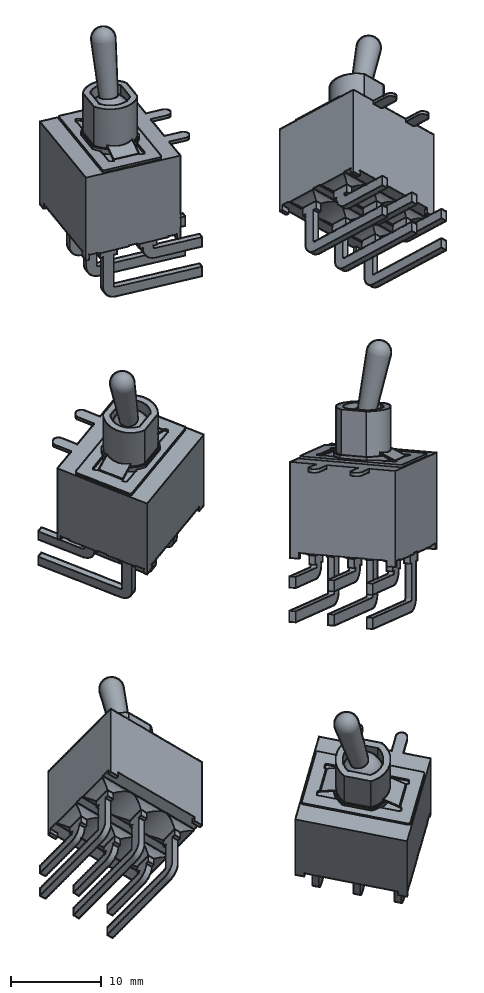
import cadquery as cq
import math


case_length = 12.7
case_width = 11.4
case_height = 10.83
recess_depth = 0.65
foot_length = 1.05
foot_width = 0.4
recess_z = -(case_height - recess_depth)
recess_length = case_length - 2 * foot_length
recess_width = case_width - 2 * foot_width

tab_spacing = 5.1
tab_width = 1.32
tab_thickness = 0.4
tab_end_y = 8.38

plate_length = 12.33
plate_width = 7.12
plate_thickness = 0.28
plate_corner_radius = 0.25
tongue_width = 3.07
tongue_thickness = 0.18
tongue_root_x = 4.48
tongue_gap = 0.1
tongue_tip_x = 2.6
tongue_angle = 22.5
slot_width = 0.65
slot_end_x = 4.8
slot_corner_radius = 0.25

bushing_radius = 3.05
bushing_across_flats = 5.28
bushing_top = 5.75
bore_radius = 2.25
bore_across_flats = 3.7
flange_radius = 3.25
flange_across_flats = 5.65
flange_top = 0.65

pivot_z = 3.3
ball_radius = 2.3
lever_tilt = 12.2
lever_tip_radius = 1.38
lever_base_radius = 0.95
lever_top = 13.35
tip_center_z = lever_top - lever_tip_radius
lever_length = (tip_center_z - pivot_z) / math.cos(math.radians(lever_tilt))

terminal_pitch = 4.65
terminal_count = 3
row_spacing = 4.8
terminal_thickness = 0.77
collar_width = 2.05
collar_bottom = -11.85
lead_width = 1.25
lead_end_y = 8.9
front_lead_bottom = -17.33
rear_lead_bottom = -13.47
bend_outer_radius = 1.47
bend_inner_radius = bend_outer_radius - lead_width

seal_bottom = -case_height
seal_edge_z = recess_z - 0.05
seal_half_length = terminal_pitch / 2
seal_half_width = 1.9
seal_hollow_ratio = 0.08


def block(x0, x1, y0, y1, z0, z1):
    """Axis-aligned box between opposite corners."""
    return cq.Workplane("XY").box(x1 - x0, y1 - y0, z1 - z0, centered=False).translate((x0, y0, z0))


def flatted_cylinder(radius, across_flats, z0, z1):
    """Upright cylinder with flats on its -Y and +Y sides."""
    cylinder = cq.Workplane("XY").workplane(offset=z0).circle(radius).extrude(z1 - z0)
    half = across_flats / 2
    return cylinder.intersect(block(-radius, radius, -half, half, z0, z1))


def make_case():
    """Box whose recessed underside leaves a foot in each corner."""
    body = cq.Workplane("XY").box(case_length, case_width, case_height, centered=(True, True, False))
    body = body.translate((0, 0, -case_height))
    for length, width in ((recess_length, case_width), (case_length, recess_width)):
        recess = cq.Workplane("XY").box(length, width, recess_depth, centered=(True, True, False))
        body = body.cut(recess.translate((0, 0, -case_height)))
    return body


def make_tabs():
    """Two flat tabs with round ends."""
    tabs = cq.Workplane("XY")
    tab_radius = tab_width / 2
    for x in (-tab_spacing / 2, tab_spacing / 2):
        round_center_y = tab_end_y - tab_radius
        strip = block(x - tab_radius, x + tab_radius, 0, round_center_y, -tab_thickness, 0)
        end = cq.Workplane("XY").center(x, round_center_y).circle(tab_radius).extrude(-tab_thickness)
        tabs = tabs.add(strip.union(end))
    return tabs.combine()


def make_plate():
    """Rounded plate with openings where the two tongues are lifted out."""
    plate = cq.Workplane("XY").rect(plate_length, plate_width).extrude(plate_thickness)
    plate = plate.edges("|Z").fillet(plate_corner_radius)
    opening_length = 2 * (tongue_root_x + tongue_gap)
    opening = cq.Workplane("XY").rect(opening_length, tongue_width).extrude(plate_thickness)
    plate = plate.cut(opening)
    for y in (-(tongue_width + slot_width) / 2, (tongue_width + slot_width) / 2):
        slot = cq.Workplane("XY").center(0, y).rect(2 * slot_end_x, slot_width).extrude(plate_thickness)
        plate = plate.cut(slot.edges("|Z").fillet(slot_corner_radius))
    return plate


def make_tongue():
    """Tongue on the +X side, sloping up from the plate to the bushing."""
    angle = math.radians(tongue_angle)
    tip_z = plate_thickness + (tongue_root_x - tongue_tip_x) * math.tan(angle)
    upright_thickness = tongue_thickness / math.cos(angle)
    outline = [
        (tongue_root_x, plate_thickness - upright_thickness),
        (tongue_root_x, plate_thickness),
        (tongue_tip_x, tip_z),
        (tongue_tip_x - tongue_thickness * math.sin(angle), tip_z - tongue_thickness * math.cos(angle)),
    ]
    return cq.Workplane("XZ").polyline(outline).close().extrude(tongue_width / 2, both=True)


def make_bushing():
    """Flanged bushing bored down to the middle of the lever ball."""
    bushing = flatted_cylinder(bushing_radius, bushing_across_flats, 0, bushing_top)
    bushing = bushing.union(flatted_cylinder(flange_radius, flange_across_flats, 0, flange_top))
    return bushing.cut(flatted_cylinder(bore_radius, bore_across_flats, pivot_z, bushing_top))


def make_lever():
    """Ball, tapered shaft and round tip, tilted towards -X about the ball centre."""
    shaft = (
        cq.Workplane("XZ")
        .lineTo(lever_base_radius, 0)
        .lineTo(lever_tip_radius, lever_length)
        .threePointArc(
            (lever_tip_radius * math.sqrt(0.5), lever_length + lever_tip_radius * math.sqrt(0.5)),
            (0, lever_length + lever_tip_radius),
        )
        .close()
        .revolve(360, (0, 0), (0, 1))
        .rotate((0, 0, 0), (0, 1, 0), -lever_tilt)
    )
    return shaft.union(cq.Workplane("XY").sphere(ball_radius)).translate((0, 0, pivot_z))


def make_terminal(row_y, lead_bottom):
    """Terminal in the X = 0 plane: a collar and a lead bent towards +Y."""
    front_y = row_y - lead_width / 2
    rear_y = row_y + lead_width / 2
    lead_top = lead_bottom + lead_width
    lead = (
        cq.Workplane("YZ")
        .moveTo(lead_end_y, lead_bottom)
        .lineTo(front_y + bend_outer_radius, lead_bottom)
        .tangentArcPoint((front_y, lead_bottom + bend_outer_radius), relative=False)
        .lineTo(front_y, collar_bottom)
        .lineTo(rear_y, collar_bottom)
        .lineTo(rear_y, lead_top + bend_inner_radius)
        .tangentArcPoint((rear_y + bend_inner_radius, lead_top), relative=False)
        .lineTo(lead_end_y, lead_top)
        .close()
        .extrude(terminal_thickness / 2, both=True)
    )
    half_thickness = terminal_thickness / 2
    half_collar = collar_width / 2
    collar = block(
        -half_thickness, half_thickness, row_y - half_collar, row_y + half_collar, collar_bottom, recess_z
    )
    return lead.union(collar)


def flare_middle(bottom, edge):
    """Middle point of the concave arc between the terminal and the recess."""
    rise = seal_hollow_ratio * abs(edge - bottom)
    return ((bottom + edge) / 2, (seal_bottom + seal_edge_z) / 2 + rise)


def seal_profile(plane, bottom_half, edge_half, depth):
    """Prism whose section flares in concave arcs from the terminal up to the recess."""
    return (
        cq.Workplane(plane)
        .moveTo(-edge_half, recess_z)
        .lineTo(-edge_half, seal_edge_z)
        .threePointArc(flare_middle(-bottom_half, -edge_half), (-bottom_half, seal_bottom))
        .lineTo(bottom_half, seal_bottom)
        .threePointArc(flare_middle(bottom_half, edge_half), (edge_half, seal_edge_z))
        .lineTo(edge_half, recess_z)
        .close()
        .extrude(depth, both=True)
    )


def make_seal(x, y):
    """Sealing fillet around a terminal, trimmed flush with the ends of the case."""
    along_x = seal_profile("XZ", terminal_thickness / 2, seal_half_length, seal_half_width)
    along_y = seal_profile("YZ", collar_width / 2, seal_half_width, seal_half_length)
    seal = along_x.intersect(along_y).translate((x, y, 0))
    half_length = case_length / 2
    half_width = recess_width / 2
    return seal.intersect(block(-half_length, half_length, -half_width, half_width, seal_bottom, recess_z))


case = make_case()
right_tongue = make_tongue()
left_tongue = right_tongue.mirror("YZ")
result = case.union(make_tabs()).union(make_plate()).union(right_tongue).union(left_tongue)
result = result.union(make_bushing()).union(make_lever())

for row_y, lead_bottom in ((-row_spacing / 2, front_lead_bottom), (row_spacing / 2, rear_lead_bottom)):
    terminal = make_terminal(row_y, lead_bottom)
    for index in range(terminal_count):
        terminal_x = (index - (terminal_count - 1) / 2) * terminal_pitch
        result = result.union(make_seal(terminal_x, row_y))
        result = result.union(terminal.translate((terminal_x, 0, 0)))